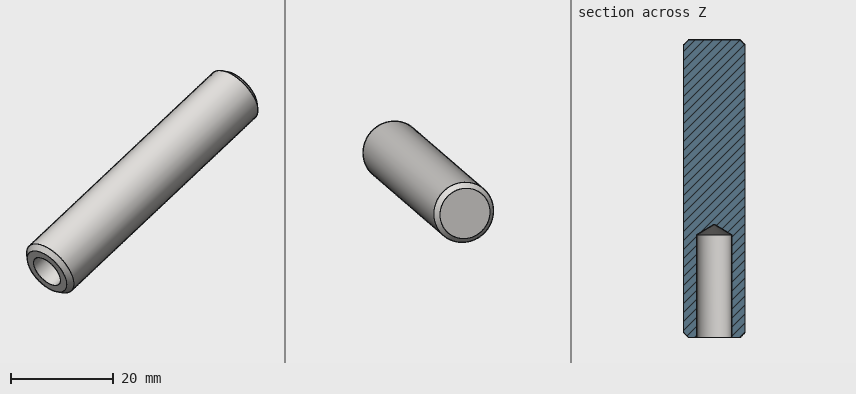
import cadquery as cq
import math

length = 58.0
diameter = 12.0
end_chamfer = 1.0
hole_diameter = 6.8
hole_depth = 20.0
drill_point_angle = 118.0

radius = diameter / 2
hole_radius = hole_diameter / 2
drill_point_depth = hole_radius / math.tan(math.radians(drill_point_angle / 2))
front_y = -length / 2
hole_end_y = front_y + hole_depth


def make_pin():
    """Solid round bar, chamfered at both ends and centred on the origin."""
    bar = cq.Workplane("XZ").cylinder(length, radius)
    return bar.faces("<Y or >Y").chamfer(end_chamfer)


def make_drilled_hole():
    """Drilled volume with a conical bottom, revolved about the Y axis."""
    half_profile = (
        cq.Workplane("XY")
        .moveTo(0, front_y)
        .lineTo(hole_radius, front_y)
        .lineTo(hole_radius, hole_end_y)
        .lineTo(0, hole_end_y + drill_point_depth)
        .close()
    )
    return half_profile.revolve(360, (0, 0, 0), (0, 1, 0))


result = make_pin().cut(make_drilled_hole())